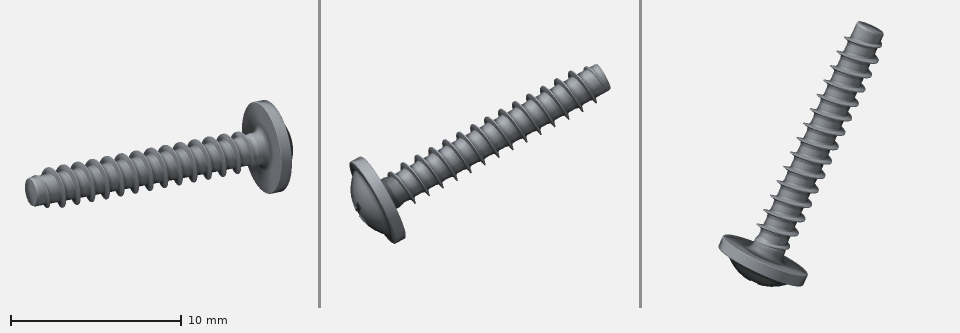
import cadquery as cq
import math


overall_length = 16.76
flange_radius = 2.75
flange_thickness = 0.7
rim_chamfer = 0.03
dome_base_radius = 2.18
dome_height = 1.05
recess_width = 0.47
recess_depth = 0.18

core_radius = 0.87
neck_radius = 1.96 / 2
neck_fillet = 0.39
neck_length = 0.64
neck_cone_length = 0.34
tip_radius = 0.82
tip_taper_length = 0.13
tip_cone_height = 0.05

pitch = 11.36 / 12
crest_radius = 2.5 / 2
crest_half_width = 0.03
shoulder_radius = 0.92
shoulder_half_width = 0.12
foot_radius = 0.82
head_side_foot = 0.49
tip_side_foot = 0.32
crest_crossing = -1.0
thread_end = -14.82
fade_turns = 1.25
full_turns = 12.9
sunk_crest_radius = 0.85
sunk_shoulder_radius = 0.84
sunk_foot = 0.15

dome_radius = (dome_base_radius**2 + dome_height**2) / (2 * dome_height)
recess_corner = recess_width / math.sqrt(2)
removed_top = dome_radius - math.sqrt(dome_radius**2 - recess_corner**2)
dome_top = flange_thickness + dome_height
shank_length = overall_length - dome_top + removed_top


def make_blank():
    """Head, neck and core as one turned body."""
    dome_mid_radius = dome_base_radius / 2
    dome_center = dome_top - dome_radius
    dome_mid_height = dome_center + math.sqrt(dome_radius**2 - dome_mid_radius**2)
    fillet_drop = neck_fillet * (1 - math.sqrt(0.5))
    return (
        cq.Workplane("XZ")
        .moveTo(0, -shank_length)
        .lineTo(tip_radius, tip_cone_height - shank_length)
        .lineTo(core_radius, tip_cone_height + tip_taper_length - shank_length)
        .lineTo(core_radius, -neck_length - neck_cone_length)
        .lineTo(neck_radius, -neck_length)
        .lineTo(neck_radius, -neck_fillet)
        .threePointArc(
            (neck_radius + fillet_drop, -fillet_drop),
            (neck_radius + neck_fillet, 0),
        )
        .lineTo(flange_radius - rim_chamfer, 0)
        .lineTo(flange_radius, rim_chamfer)
        .lineTo(flange_radius, flange_thickness - rim_chamfer)
        .lineTo(flange_radius - rim_chamfer, flange_thickness)
        .lineTo(dome_base_radius, flange_thickness)
        .threePointArc((dome_mid_radius, dome_mid_height), (0, dome_top))
        .close()
        .revolve(360, (0, 0, 0), (0, 1, 0))
    )


def make_recess():
    """Shallow cross of two slots cut into the crown of the dome."""
    floor = dome_top - recess_depth
    slots = cq.Workplane("XY").workplane(offset=floor)
    slot_length = 2 * dome_base_radius
    lengthwise = slots.rect(slot_length, recess_width).extrude(dome_height)
    crosswise = slots.rect(recess_width, slot_length).extrude(dome_height)
    return lengthwise.union(crosswise)


def ridge_profile(crest, shoulder, tip_foot, head_foot):
    """Corners of the ridge section as (radius, offset along the axis)."""
    return [
        (foot_radius, -tip_foot),
        (shoulder, -shoulder_half_width),
        (crest, -crest_half_width),
        (crest, crest_half_width),
        (shoulder, shoulder_half_width),
        (foot_radius, head_foot),
    ]


def helix_edge(start, end, turns, start_turn):
    """Cylindrical or conical helix between two (radius, height) places."""
    rise = end[1] - start[1]
    if start[0] == end[0]:
        helix = cq.Wire.makeHelix(rise / turns, rise, start[0])
    else:
        half_angle = math.atan2(end[0] - start[0], rise)
        slant = rise / math.cos(half_angle)
        helix = cq.Wire.makeHelix(slant / turns, slant, start[0], angle=math.degrees(half_angle))
    turned = helix.rotate(cq.Vector(0, 0, 0), cq.Vector(0, 0, 1), 360 * start_turn)
    return turned.translate(cq.Vector(0, 0, start[1])).Edges()[0]


def profile_face(profile, height, turn):
    """Flat cap closing the ridge at one end."""
    angle = 2 * math.pi * turn
    corners = [
        cq.Vector(radius * math.cos(angle), radius * math.sin(angle), height + offset)
        for radius, offset in profile
    ]
    return cq.Face.makeFromWires(cq.Wire.makePolygon(corners, close=True))


def make_thread():
    """Helical ridge that rises out of the core, runs full and sinks back in."""
    full = ridge_profile(crest_radius, shoulder_radius, tip_side_foot, head_side_foot)
    sunk = ridge_profile(sunk_crest_radius, sunk_shoulder_radius, sunk_foot, sunk_foot)
    stages = [(sunk, full, fade_turns), (full, full, full_turns), (full, sunk, fade_turns)]

    height = thread_end
    turn = (thread_end - crest_crossing) / pitch
    faces = [profile_face(sunk, height, turn)]
    for lower, upper, turns in stages:
        next_height = height + turns * pitch
        edges = [
            helix_edge((r0, height + z0), (r1, next_height + z1), turns, turn)
            for (r0, z0), (r1, z1) in zip(lower, upper)
        ]
        for edge, neighbour in zip(edges, edges[1:] + edges[:1]):
            faces.append(cq.Face.makeRuledSurface(edge, neighbour))
        height = next_height
        turn += turns
    faces.append(profile_face(sunk, height, turn))
    return cq.Workplane(cq.Solid.makeSolid(cq.Shell.makeShell(faces)))


screw = make_blank().cut(make_recess()).union(make_thread())
result = screw.rotate((0, 0, 0), (1, 0, 0), -90)